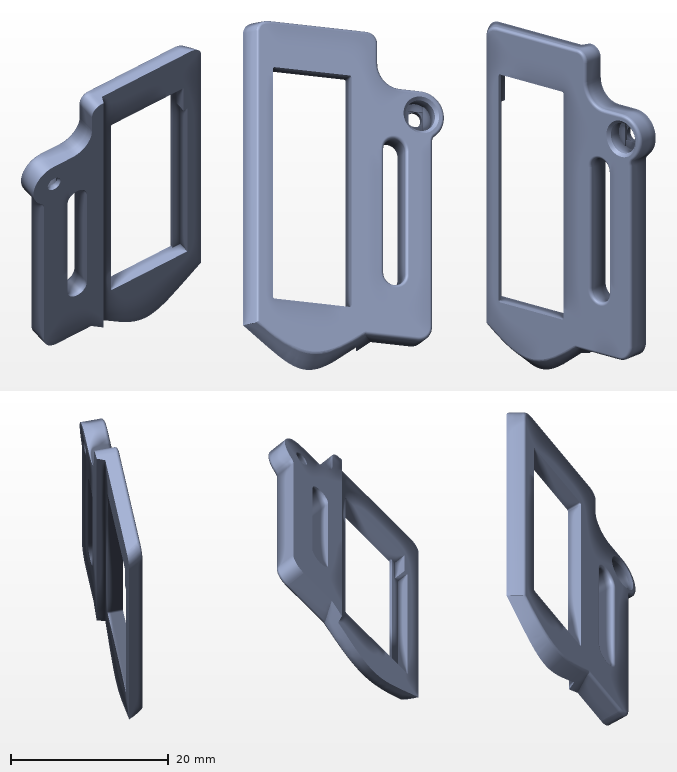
import cadquery as cq
import math


total_height = 45.1
plate_thickness = 3.0
flange_thickness = 2.0
plate_width = 25.05
plate_height = 40.15
edge_fillet = 0.4
upper_corner_radius = 1.5
lower_corner_radius = 2.0
upper_edge_y = 7.45
neck_radius = 3.0

boss_y = 1.6
boss_z = 29.85
boss_radius = 3.2
boss_blend_radius = 1.0
bore_diameter = 4.0
hole_diameter = 2.0
bore_depth = 2.0
bore_chamfer = 0.4
floor_step = 0.2

side_slant = 1.25
side_bow = 0.1
bulge_center_y = 16.5
bulge_front_depth = 3.25
bulge_flange_depth = total_height - plate_height
bulge_end_slope = 0.72

step_y = 9.7
step_run = 0.45

window_y = 11.1
window_z = 3.4
window_width = 10.65
window_height = 30.62
window_corner_radius = 0.23
lip_thickness = 0.4
recess_width = 1.17
recess_height = 26.47
recess_upper_width = 0.6

slot_y = 5.15
slot_z = 16.7
slot_radius = 1.5
slot_center_distance = 16.33
mark_y = 7.65
mark_width = 2.65
mark_depth = 0.25
mark_spacing = 6.65
small_mark_height = 0.8
large_mark_height = 1.4

margin = 2.25


def block(x, y, z, size_x, size_y, size_z):
    """Box with its lowest corner at x, y, z."""
    return cq.Workplane("XY").box(size_x, size_y, size_z, centered=False).translate((x, y, z))


def cylinder(x, y, z, radius, length):
    """Cylinder along +X starting at x."""
    return cq.Workplane("YZ", origin=(x, y, z)).circle(radius).extrude(length)


def plate_outline():
    """Straight-sided plate with its boss, all edges square to the front face."""
    boss_top = boss_z + boss_radius
    blend_drop = math.sqrt((boss_radius + boss_blend_radius) ** 2 - (boss_y + boss_blend_radius) ** 2)
    blend_z = boss_z - blend_drop
    blend_share = boss_radius / (boss_radius + boss_blend_radius)
    touch_y = boss_y - blend_share * (boss_y + boss_blend_radius)
    touch_z = boss_z - blend_share * blend_drop
    half_angle = math.atan2(blend_drop, boss_y + boss_blend_radius) / 2
    blend_mid_y = -boss_blend_radius * (1 - math.cos(half_angle))
    blend_mid_z = blend_z + boss_blend_radius * math.sin(half_angle)
    diagonal = math.sqrt(0.5)
    neck_mid = neck_radius * (1 - diagonal)
    corner_mid_upper = upper_corner_radius * (1 - diagonal)
    corner_mid_lower = lower_corner_radius * (1 - diagonal)
    return (
        cq.Workplane("YZ")
        .moveTo(plate_width, 0)
        .lineTo(plate_width, plate_height)
        .lineTo(upper_edge_y + upper_corner_radius, plate_height)
        .threePointArc(
            (upper_edge_y + corner_mid_upper, plate_height - corner_mid_upper),
            (upper_edge_y, plate_height - upper_corner_radius),
        )
        .lineTo(upper_edge_y, boss_top + neck_radius)
        .threePointArc(
            (upper_edge_y - neck_mid, boss_top + neck_mid),
            (upper_edge_y - neck_radius, boss_top),
        )
        .lineTo(boss_y, boss_top)
        .threePointArc((boss_y - boss_radius, boss_z), (touch_y, touch_z))
        .threePointArc((blend_mid_y, blend_mid_z), (0, blend_z))
        .lineTo(0, lower_corner_radius)
        .threePointArc((corner_mid_lower, corner_mid_lower), (lower_corner_radius, 0))
        .close()
        .extrude(plate_thickness)
    )


def bulge_section(x):
    """Bulge outline at depth x: it widens and deepens linearly from the front face."""
    share = x / flange_thickness
    half_width = plate_width - bulge_center_y - side_slant * (1 - share)
    depth = bulge_front_depth + (bulge_flange_depth - bulge_front_depth) * share
    left = cq.Vector(x, bulge_center_y + half_width, 0)
    lowest = cq.Vector(x, bulge_center_y, -depth)
    right = cq.Vector(x, bulge_center_y - half_width, 0)
    curve = cq.Edge.makeSpline(
        [left, lowest, right],
        tangents=[cq.Vector(0, -1, -bulge_end_slope), cq.Vector(0, -1, bulge_end_slope)],
    )
    return cq.Wire.assembleEdges([curve, cq.Edge.makeLine(right, left)])


def bulge():
    """Flared lobe lofted straight from the front face to the back."""
    sections = [bulge_section(0), bulge_section(plate_thickness)]
    return cq.Workplane(cq.Solid.makeLoft(sections, True))


def side_cut():
    """Space beside the slanted, slightly bowed +Y side; the plate is narrowest at its front face."""
    front_y = plate_width - side_slant
    bow_point = (flange_thickness / 2, plate_width - side_slant / 2 + side_bow)
    return (
        cq.Workplane("XY")
        .moveTo(0, front_y)
        .threePointArc(bow_point, (flange_thickness, plate_width))
        .lineTo(plate_thickness, plate_width)
        .lineTo(plate_thickness, plate_width + margin)
        .lineTo(0, plate_width + margin)
        .close()
        .extrude(plate_height)
    )


def back_cut():
    """Space behind the flange, ending at the sloped step."""
    lowest_z = -(bulge_flange_depth + margin)
    return (
        cq.Workplane("XY", origin=(0, 0, lowest_z))
        .moveTo(flange_thickness, step_y)
        .lineTo(plate_thickness, step_y - step_run)
        .lineTo(plate_thickness, plate_width + margin)
        .lineTo(flange_thickness, plate_width + margin)
        .close()
        .extrude(plate_height - lowest_z)
    )


def slot_cut():
    """Round-ended slot through the plate."""
    return (
        cq.Workplane("YZ", origin=(0, slot_y, slot_z))
        .slot2D(slot_center_distance + 2 * slot_radius, 2 * slot_radius, 90)
        .extrude(plate_thickness)
    )


def window_cut():
    """Window through the flange, with the two-step recess behind its +Y lip."""
    opening = (
        block(0, window_y, window_z, flange_thickness, window_width, window_height)
        .edges("|X")
        .fillet(window_corner_radius)
    )
    recess_depth = flange_thickness - lip_thickness
    edge_y = window_y + window_width - margin
    lower = block(lip_thickness, edge_y, window_z, recess_depth, margin + recess_width, recess_height)
    upper = block(lip_thickness, edge_y, window_z, recess_depth, margin + recess_upper_width, window_height)
    return opening.union(lower).union(upper)


def pivot_hole_cut():
    """Chamfered bore whose floor drops in two thin steps, a band and a square, to a through hole."""
    half_hole = hole_diameter / 2
    band_depth = bore_depth + floor_step
    square_depth = band_depth + floor_step
    bore = cylinder(0, boss_y, boss_z, bore_diameter / 2, bore_depth)
    rim_radius = bore_diameter / 2 + bore_chamfer
    rim = cq.Workplane(
        cq.Solid.makeCone(
            rim_radius,
            bore_diameter / 2,
            bore_chamfer,
            pnt=cq.Vector(0, boss_y, boss_z),
            dir=cq.Vector(1, 0, 0),
        )
    )
    band = cylinder(0, boss_y, boss_z, bore_diameter / 2, band_depth).intersect(
        block(0, boss_y - half_hole, boss_z - boss_radius, band_depth, hole_diameter, 2 * boss_radius)
    )
    square = block(0, boss_y - half_hole, boss_z - half_hole, square_depth, hole_diameter, hole_diameter)
    hole = cylinder(0, boss_y, boss_z, half_hole, plate_thickness)
    return bore.union(rim).union(band).union(square).union(hole)


def make_mark(center_z, height):
    """Scale mark inlaid flush with the front face."""
    return block(0, mark_y, center_z - height / 2, mark_depth, mark_width, height)


def make_plate():
    """Plate with all its openings, before the marks are let into it."""
    body = plate_outline().cut(side_cut())
    slanted_corner = cq.selectors.NearestToPointSelector((plate_thickness / 2, plate_width, plate_height))
    body = body.edges(slanted_corner).fillet(upper_corner_radius)
    body = body.union(bulge())
    body = body.cut(slot_cut())
    body = body.faces("<X").edges().fillet(edge_fillet)
    return body.cut(back_cut()).cut(window_cut()).cut(pivot_hole_cut())


plate = make_plate()
marks = []
for offset, height in (
    (-mark_spacing, small_mark_height),
    (0, large_mark_height),
    (mark_spacing, small_mark_height),
):
    mark = make_mark(slot_z + offset, height)
    plate = plate.cut(mark)
    marks.append(mark)

result = cq.Compound.makeCompound([plate.val(), *[mark.val() for mark in marks]])